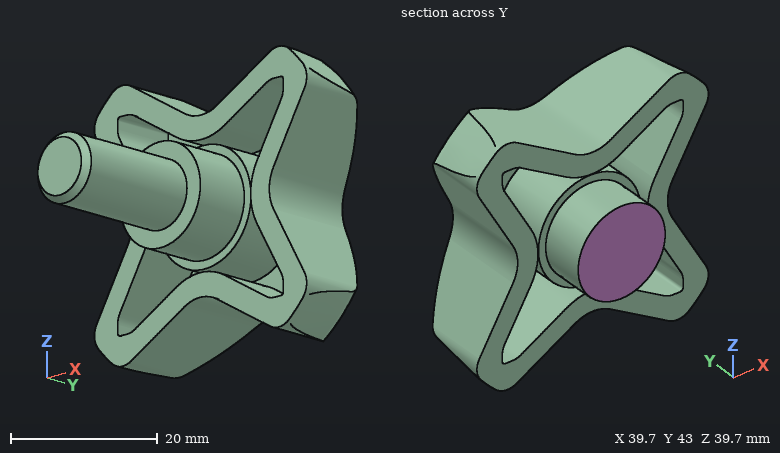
import cadquery as cq
import math

head_height = 15.0
outer_span = 39.7
flank_angle = 30

valley_reach = 12.85
valley_radius = 6.0
tip_radius = 3.15

crown_radius = 30.0
side_height = 10.0
side_base_radius = 25.33
side_top_radius = 24.12
shoulder_radius = 2.0

pocket_span = 30.95
pocket_valley_reach = 9.37
pocket_valley_radius = 9.0
pocket_tip_radius = 3.0
pocket_corner_radius = 0.5
pocket_depth = 10.0

hub_diameter = 17.5
hub_recess = 0.75
collar_diameter = 15.0
collar_length = 8.0
pin_diameter = 10.0
pin_length = 20.0
pin_tip_diameter = 8.15
pin_chamfer_length = 1.0

edge_margin = 0.05

flank_slope = math.tan(math.radians(flank_angle))
flank_cosine = math.cos(math.radians(flank_angle))


def flank_start(reach, radius):
    """Distance from the axis to where two flanks meet before the valley is rounded."""
    return reach + radius - radius / flank_cosine


def quarter_turns(corners):
    """Repeat one arm's corners for all four arms."""
    points = []
    for _ in range(4):
        points += corners
        corners = [(-z, x) for x, z in corners]
    return points


def star_prism(corners, height):
    """Prism from y = 0 toward +Y, from the corners of one arm."""
    return cq.Workplane("XZ").polyline(quarter_turns(corners)).close().extrude(-height)


def round_corners(prism, distances, radius):
    """Round the lengthwise edges whose distance from the axis is within the limits."""
    nearest, farthest = distances
    edges = [
        edge for edge in prism.edges("|Y").vals()
        if nearest < math.hypot(edge.Center().x, edge.Center().z) < farthest
    ]
    return prism.newObject(edges).fillet(radius)


def make_star():
    start = flank_start(valley_reach, valley_radius)
    centre_z = outer_span / 2 - tip_radius
    centre_x = (centre_z - start + tip_radius / flank_cosine) / flank_slope
    end_radius = math.hypot(centre_x, centre_z) + tip_radius
    flanks_meet = start / (1 - flank_slope)
    star = star_prism([(start, 0), (flanks_meet, flanks_meet)], head_height)
    star = star.intersect(cq.Workplane("XZ").circle(end_radius).extrude(-head_height))
    star = round_corners(star, (0, valley_reach), valley_radius)
    return round_corners(star, (outer_span / 2, outer_span), tip_radius)


def make_dome():
    drop = head_height - side_height
    flat_radius = side_top_radius - math.sqrt(crown_radius**2 - (crown_radius - drop)**2)
    half_angle = math.acos(1 - drop / crown_radius) / 2
    arc_middle = (
        flat_radius + crown_radius * math.sin(half_angle),
        head_height - crown_radius * (1 - math.cos(half_angle)),
    )
    dome = (
        cq.Workplane("XY")
        .lineTo(side_base_radius, 0)
        .lineTo(side_top_radius, side_height)
        .threePointArc(arc_middle, (flat_radius, head_height))
        .lineTo(0, head_height)
        .close()
        .revolve(360, (0, 0), (0, 1))
    )
    shoulder = cq.selectors.BoxSelector(
        (-outer_span, side_height - edge_margin, -outer_span),
        (outer_span, side_height + edge_margin, outer_span),
        boundingbox=True,
    )
    return dome.edges(shoulder).fillet(shoulder_radius)


def make_pocket():
    start = flank_start(pocket_valley_reach, pocket_valley_radius)
    half = pocket_span / 2
    shoulder = (half - start) / flank_slope
    corners = [(start, 0), (half, shoulder), (half, half), (shoulder, half)]
    pocket = star_prism(corners, pocket_depth)
    corner_reach = math.hypot(half, half)
    shoulder_reach = math.hypot(half, shoulder)
    tip_limit = (corner_reach + shoulder_reach) / 2
    pocket = round_corners(pocket, (0, pocket_valley_reach), pocket_valley_radius)
    pocket = round_corners(pocket, (tip_limit, outer_span), pocket_corner_radius)
    shoulder_limits = (shoulder_reach - edge_margin, shoulder_reach + edge_margin)
    return round_corners(pocket, shoulder_limits, pocket_tip_radius)


def make_stem():
    """Hub inside the pocket, collar and chamfered pin, all turned about Y."""
    collar_end = -collar_length
    pin_end = collar_end - pin_length
    return (
        cq.Workplane("XY")
        .moveTo(0, pocket_depth)
        .lineTo(hub_diameter / 2, pocket_depth)
        .lineTo(hub_diameter / 2, hub_recess)
        .lineTo(collar_diameter / 2, hub_recess)
        .lineTo(collar_diameter / 2, collar_end)
        .lineTo(pin_diameter / 2, collar_end)
        .lineTo(pin_diameter / 2, pin_end + pin_chamfer_length)
        .lineTo(pin_tip_diameter / 2, pin_end)
        .lineTo(0, pin_end)
        .close()
        .revolve(360, (0, 0), (0, 1))
    )


head = make_star().intersect(make_dome()).cut(make_pocket())
result = head.union(make_stem())